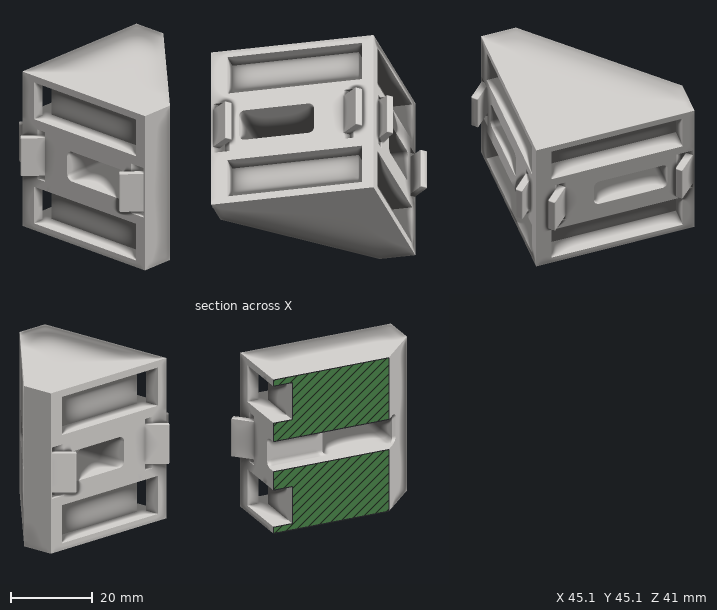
import cadquery as cq
import math

body_size = 41.0
end_width = 9.0

pocket_length = 33.98
pocket_height = 9.75
pocket_spacing = 27.7
pocket_depth = 5.05
front_pocket_start = 3.95
left_pocket_start = 3.0

slot_start = 15.02
slot_length = 19.0
slot_height = 7.9
slot_corner_radius = 1.5

overhang = 4.1
tab_height = 9.95
tab_spacing = 33.0
tab_start = 5.0
tab_width = 2.55
tip_radius = 0.3
notch_height = 13.15
far_notch_extra = 1.62

mid_height = body_size / 2


def to_left_face(shape):
    """Swap X and Y, carrying a front-face feature over to the left face."""
    turned = shape.rotate((0, 0, 0), (0, 0, 1), 90)
    return turned.mirror("YZ")


def plan_prism(points, height):
    """Upright prism on a plan outline, centred on the middle of the body."""
    base = cq.Workplane("XY").workplane(offset=mid_height - height / 2)
    return base.polyline(points).close().extrude(height)


def make_body():
    outline = [(0, 0), (body_size, 0), (body_size, end_width), (end_width, body_size), (0, body_size)]
    return plan_prism(outline, body_size)


def front_pockets(start):
    """Upper and lower long pockets sunk into the front face."""
    outline = [
        (start, 0),
        (start + pocket_length, 0),
        (start + pocket_length, pocket_depth),
        (start, pocket_depth),
    ]
    pocket = plan_prism(outline, pocket_height)
    upper = pocket.translate((0, 0, pocket_spacing / 2))
    lower = pocket.translate((0, 0, -pocket_spacing / 2))
    return upper.union(lower)


def front_slot():
    """Round-cornered slot running from the front face through the body."""
    slot = cq.Workplane("XY").box(slot_length, body_size, slot_height, centered=(False, False, True))
    return slot.edges("|Y").fillet(slot_corner_radius).translate((slot_start, 0, mid_height))


def near_notch():
    """Symmetric V as wide as the near tab."""
    depth = tab_width / 2
    outline = [(tab_start, 0), (tab_start + depth, depth), (tab_start + tab_width, 0)]
    return plan_prism(outline, notch_height)


def far_notch():
    """Wider notch: a 45 degree lead-in, a step inwards and a 45 degree back wall."""
    tab_edge = tab_start + tab_spacing
    outline = [
        (tab_edge - far_notch_extra, 0),
        (tab_edge, far_notch_extra),
        (tab_edge, tab_width),
        (tab_edge + tab_width, 0),
    ]
    return plan_prism(outline, notch_height)


def make_front_tab(start):
    """Tab leaning 45 degrees, from the back wall of its notch to a rounded tip."""
    thickness = tab_width / math.sqrt(2)
    square_reach = overhang + tip_radius * (math.sqrt(2) - 1)
    tab_length = square_reach * math.sqrt(2)
    tab = cq.Workplane("XY").box(tab_length, thickness, tab_height, centered=(False, False, True))
    tab = tab.translate((-tab_length, 0, 0)).faces("<X").edges().fillet(tip_radius)
    tab = tab.rotate((0, 0, 0), (0, 0, 1), 45)
    return tab.translate((start + tab_width, 0, mid_height))


front_cuts = front_slot().union(near_notch()).union(far_notch())
front_tabs = make_front_tab(tab_start).union(make_front_tab(tab_start + tab_spacing))

result = make_body()
result = result.cut(front_pockets(front_pocket_start)).cut(to_left_face(front_pockets(left_pocket_start)))
result = result.cut(front_cuts).cut(to_left_face(front_cuts))
result = result.union(front_tabs).union(to_left_face(front_tabs))